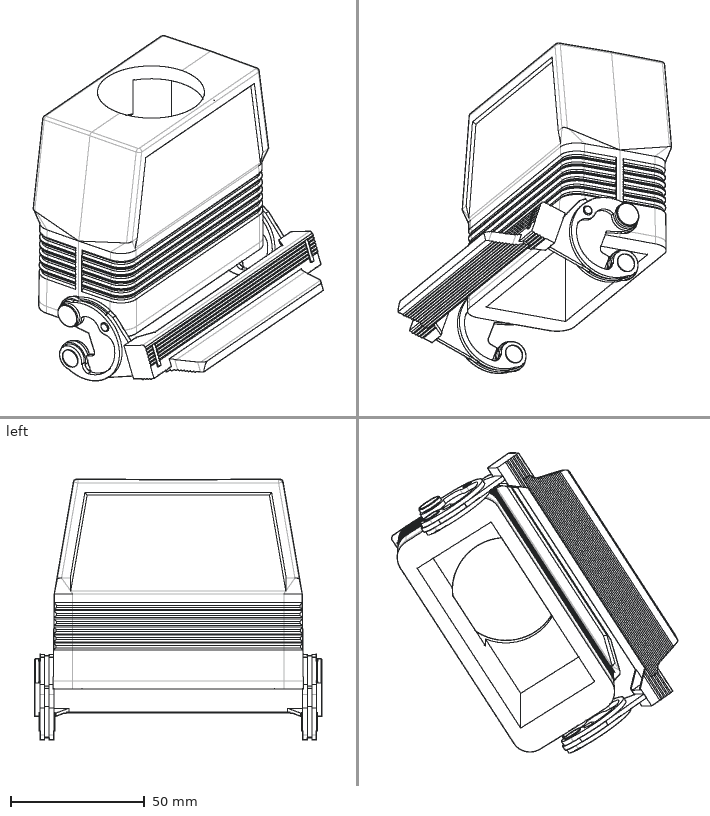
import cadquery as cq
import math

SKIRT_HALF_X = 21.7
SKIRT_HALF_Y = 46.8
SKIRT_END_PEAK = 0.15
SKIRT_CORNER_R = 7.2
RIM_HEIGHT = 3.0
SKIRT_TOP = 35.6
SKIRT_DRAFT = 0.4

GROOVE_COUNT = 6
GROOVE_PITCH = 3.02
GROOVE_BOTTOM = 14.6
GROOVE_DEPTH = 0.9
GROOVE_LOWER_FLANK = 0.8
GROOVE_ROOT = 0.8
GROOVE_UPPER_FLANK = 1.0
STRIP_WIDTH = 2.85

SHOULDER_TOP = 41.5
HOOD_TOP = 78.47
UPPER_HALF_X = 22.6
UPPER_END_SLOPE = 0.1715
END_PEAK = 0.25
ROOF_PEAK = 0.2
UPPER_FILLET = 1.5
ROOF_FILLET = 1.2

PANEL_DEPTH = 1.05
PANEL_TOP = 73.5
PANEL_BEVEL = 1.0
PANEL_MARGIN_Y = 5.0

ENTRY_DIAMETER = 40.0
ENTRY_DEPTH = 20.0
CAVITY_HALF_X = 16.4
CAVITY_HALF_Y = 36.0
ROOF_THICKNESS = 5.6

PIVOT = (0.0, 6.8)
ROLLER = (0.0, -12.2)
HOOK_CENTRE = (6.5, -3.0)
HOOK_R = 16.0
WEB_INSET = 0.7
CHEEK_END_R = 5.1
WEB_END_R = 5.7
ARM_INNER_Y = 46.55
CHEEK_THICKNESS = 1.7
WEB_THICKNESS = 1.75
ARM_OUTER_Y = ARM_INNER_Y + 2 * CHEEK_THICKNESS + WEB_THICKNESS

CHEEK_INNER_START = (4.6, 6.3)
CHEEK_ARCH = ((8.4, 8.1), (12.7, 5.4))
CHEEK_RIVET_ARC = ((13.6, 4.0), (15.5, 3.1))
CHEEK_SHOULDER_ARC = ((18.8, 1.7), (20.3, -2.0))
CHEEK_LIP_ARC = ((16.4, -12.6), (8.0, -16.2))
MOUTH_ROOF = ((-2.5, 2.0), (2.2, 0.7), (7.1, 0.1))
MOUTH_BACK = (9.6, -6.7)
MOUTH_CORNER_ARC = ((9.6, -8.2), (8.4, -9.2))
HOOK_NOSE = ((6.0, -10.1), (8.1, -15.8))
LEVER_TOP_EDGE = ((15.8, 11.7), (18.3, 10.4), (25.4, 2.0))
LEVER_BOTTOM_EDGE = (13.5, -17.0)
LEVER_OVERLAP = 0.3
ROLLER_GAP_ARC = ((6.2, -15.2), (5.4, -13.0))
BEHIND_PIVOT = (0.0, 10.0)
BEHIND_ROLLER = (0.0, -16.0)
FAR_LEFT = -14.0

PIVOT_HEAD_R = 4.6
PIVOT_NECK_R = 3.6
PIVOT_NECK_LENGTH = 0.4
PIVOT_HEAD_Y = 53.7
PIVOT_HEAD_CHAMFER = 0.3
PIVOT_ROOT_Y = 42.0
ROLLER_PIN_R = 3.5
ROLLER_PIN_PROUD = 0.4
RIVET = (15.8, 6.3)
RIVET_R = 1.8
RIVET_PROUD = 0.4
RIVET_CHAMFER = 0.35

HANDLE_TILT = 19.0
HANDLE_ORIGIN = (26.0, 2.6)
HANDLE_WIDTH = 9.95
HANDLE_HEIGHT = 13.6
HANDLE_HALF_Y = 53.7
HANDLE_RELIEF = 5.6
RELIEF_HALF_Y_DEEP = 40.9
RELIEF_HALF_Y_OPEN = 45.8
RELIEF_SKIN = 1.3
HANDLE_EDGE_FILLET = 0.8
TONGUE_PROUD = 0.45
TONGUE_TOP = 1.5
TONGUE_BOTTOM = 10.5

TOOTH_PITCH = 1.3
TOOTH_HEIGHT = 0.4
SIDE_TEETH = 6
SIDE_TEETH_START = 0.9
UNDER_TEETH = 4
UNDER_TEETH_START = 3.8
TAB_TEETH = 11
TAB_TEETH_END_X = 49.2

TAB_START_X = 36.0
TAB_END_X = 51.77
TAB_TOP_Z = (-3.9, -3.6)
TAB_DIP = (41.2, -4.15)
TAB_CREST = (50.4, -3.45)
TAB_BOTTOM_Z = (-8.6, -7.3)
TAB_FLARE_HALF_Y = 44.5
TAB_FLARE_X = 38.2
TAB_FLARE_MID = (39.3, 42.6)
TAB_ROOT_X = 41.2
TAB_ROOT_HALF_Y = 41.5
TAB_END_HALF_Y = 39.0
TAB_CORNER_R = 1.5


def rounded_section(z, half_x, half_y, radius):
    """Rounded rectangle whose short sides rise slightly to a peak at x = 0."""
    side_y = half_y - SKIRT_END_PEAK
    corners = [
        (half_x, -side_y), (half_x, side_y), (0, half_y),
        (-half_x, side_y), (-half_x, -side_y), (0, -half_y), (half_x, -side_y),
    ]
    sketch = cq.Sketch().polygon(corners).vertices(">X or <X").fillet(radius)
    return sketch.moved(cq.Location(cq.Vector(0, 0, z)))


def loft_sections(lower, upper):
    """Ruled solid between two sections given as (z, half_x, half_y, radius)."""
    sketches = [rounded_section(*lower), rounded_section(*upper)]
    return cq.Workplane("XY").placeSketch(*sketches).loft(ruled=True)


def skirt_section(z, inset=0.0):
    draft = SKIRT_DRAFT * max(z - RIM_HEIGHT, 0) / (SKIRT_TOP - RIM_HEIGHT)
    inset = inset + draft
    return (z, SKIRT_HALF_X - inset, SKIRT_HALF_Y - inset, SKIRT_CORNER_R - inset)


def skirt_slice(lower, upper):
    """Tapered slice of the skirt between two (z, inset) levels."""
    bottom = skirt_section(*lower)
    top = skirt_section(*upper)
    height = top[0] - bottom[0]
    taper = math.degrees(math.atan2(bottom[1] - top[1], height))
    return cq.Workplane("XY").placeSketch(rounded_section(*bottom)).extrude(height, taper=taper)


def extrude_along_y(outline, y_from, y_to):
    """Extrude an XZ outline between two Y positions."""
    return outline.extrude(-(y_to - y_from)).translate((0, y_from, 0))


def both_ends(solid):
    return solid.union(solid.mirror("XZ"))


def disc(centre, radius, y_from, y_to):
    return extrude_along_y(cq.Workplane("XZ").center(*centre).circle(radius), y_from, y_to)


def groove_cutter(z):
    """Groove running round the skirt, interrupted by the plain strip on both ends."""
    profile = [
        (z, 0.0),
        (z + GROOVE_LOWER_FLANK, GROOVE_DEPTH),
        (z + GROOVE_LOWER_FLANK + GROOVE_ROOT, GROOVE_DEPTH),
        (z + GROOVE_LOWER_FLANK + GROOVE_ROOT + GROOVE_UPPER_FLANK, 0.0),
    ]
    height = profile[-1][0] - z
    cutter = cq.Workplane("XY").workplane(offset=z).rect(3 * SKIRT_HALF_X, 3 * SKIRT_HALF_Y).extrude(height)
    for lower, upper in zip(profile, profile[1:]):
        core = skirt_slice(lower, upper)
        cutter = cutter.cut(core, clean=False)
    strip = cq.Workplane("XY").box(STRIP_WIDTH, 4 * SKIRT_HALF_Y, 4 * HOOD_TOP)
    return cutter.cut(strip, clean=False)


def make_skirt():
    rim = skirt_slice((0, 0), (RIM_HEIGHT, 0))
    wall = skirt_slice((RIM_HEIGHT, 0), (SKIRT_TOP, 0))
    skirt = rim.union(wall, clean=False)
    for i in range(GROOVE_COUNT):
        skirt = skirt.cut(groove_cutter(GROOVE_BOTTOM + i * GROOVE_PITCH), clean=False)
    return skirt


def upper_end_y(z):
    """Half length of the upper body in its middle plane."""
    return skirt_section(SKIRT_TOP)[2] - UPPER_END_SLOPE * (z - SKIRT_TOP)


def make_upper_body():
    def outline(plane, z):
        peak = upper_end_y(z)
        side = peak - END_PEAK
        return plane.polyline([
            (UPPER_HALF_X, -side), (UPPER_HALF_X, side), (0, peak),
            (-UPPER_HALF_X, side), (-UPPER_HALF_X, -side), (0, -peak),
        ]).close()

    base = outline(cq.Workplane("XY").workplane(offset=SKIRT_TOP), SKIRT_TOP)
    body = outline(base.workplane(offset=HOOD_TOP - SKIRT_TOP), HOOD_TOP).loft(ruled=True)
    reach = 2 * SKIRT_HALF_Y
    roof_edge = HOOD_TOP - ROOF_PEAK
    above_roof = cq.Workplane("XZ").polyline([
        (-UPPER_HALF_X, roof_edge), (0, HOOD_TOP), (UPPER_HALF_X, roof_edge),
        (UPPER_HALF_X, 2 * HOOD_TOP), (-UPPER_HALF_X, 2 * HOOD_TOP),
    ]).close()
    body = body.cut(extrude_along_y(above_roof, -reach, reach))
    body = body.edges("(>X or <X) and (not #Z) and (not |Y)").fillet(UPPER_FILLET)
    body = body.faces(">Z").edges("not (|Y and (not (>X or <X)))").fillet(ROOF_FILLET)

    front = cq.Workplane("XZ").polyline([
        (0, SKIRT_TOP), (UPPER_HALF_X, SHOULDER_TOP), (UPPER_HALF_X, HOOD_TOP),
        (-UPPER_HALF_X, HOOD_TOP), (-UPPER_HALF_X, SHOULDER_TOP),
    ]).close()
    body = body.intersect(extrude_along_y(front, -reach, reach))

    shoulder = loft_sections(
        skirt_section(SKIRT_TOP),
        (SHOULDER_TOP, UPPER_HALF_X, upper_end_y(SHOULDER_TOP) - END_PEAK + SKIRT_END_PEAK,
         UPPER_FILLET),
    )
    return body.union(shoulder, clean=False)


def panel_cutter():
    """Shallow tapered recess on the -X side."""
    def outline(plane, grow):
        top = PANEL_TOP + grow
        top_y = upper_end_y(top) - PANEL_MARGIN_Y + grow
        bottom_y = upper_end_y(SKIRT_TOP) - PANEL_MARGIN_Y + grow
        return plane.polyline([
            (top_y, top), (-top_y, top), (-bottom_y, SKIRT_TOP), (bottom_y, SKIRT_TOP),
        ]).close()

    floor = outline(cq.Workplane("YZ").workplane(offset=-UPPER_HALF_X + PANEL_DEPTH), -PANEL_BEVEL)
    return outline(floor.workplane(offset=-PANEL_DEPTH), 0).loft(ruled=True)


def cut_openings(hood):
    cavity_top = HOOD_TOP - ROOF_THICKNESS
    cavity = cq.Workplane("XY").rect(2 * CAVITY_HALF_X, 2 * CAVITY_HALF_Y).extrude(cavity_top)
    entry = (
        cq.Workplane("XY").workplane(offset=HOOD_TOP)
        .circle(ENTRY_DIAMETER / 2).extrude(-ENTRY_DEPTH)
    )
    return hood.cut(cavity, clean=False).cut(entry, clean=False)


def make_hood():
    hood = make_skirt().union(make_upper_body(), clean=False)
    panel = panel_cutter()
    hood = hood.cut(panel, clean=False).cut(panel.mirror("YZ"), clean=False)
    return cut_openings(hood)


def handle_point(u, v):
    """XZ position of a point u across and v up the tilted bar."""
    tilt = math.radians(HANDLE_TILT)
    x = HANDLE_ORIGIN[0] + u * math.cos(tilt) - v * math.sin(tilt)
    z = HANDLE_ORIGIN[1] + u * math.sin(tilt) + v * math.cos(tilt)
    return (x, z)


def make_cheek(y_from, y_to):
    """C-shaped plate running from the pivot round to the roller."""
    inside = (
        cq.Workplane("XZ").moveTo(FAR_LEFT, BEHIND_PIVOT[1]).lineTo(*BEHIND_PIVOT)
        .lineTo(*CHEEK_INNER_START)
        .threePointArc(*CHEEK_ARCH)
        .threePointArc(*CHEEK_RIVET_ARC)
        .threePointArc(*CHEEK_SHOULDER_ARC)
        .threePointArc(*CHEEK_LIP_ARC)
        .threePointArc(*ROLLER_GAP_ARC)
        .lineTo(*BEHIND_ROLLER).lineTo(FAR_LEFT, BEHIND_ROLLER[1]).close()
    )
    cheek = disc(HOOK_CENTRE, HOOK_R, y_from, y_to).cut(extrude_along_y(inside, y_from, y_to))
    for centre in (PIVOT, ROLLER):
        cheek = cheek.union(disc(centre, CHEEK_END_R, y_from, y_to))
    return cheek


def make_web(y_from, y_to):
    """Middle plate with the hook mouth, reaching into the handle bar."""
    tongue_end = HANDLE_WIDTH + TONGUE_PROUD
    lever = cq.Workplane("XZ").polyline([
        HOOK_CENTRE, *LEVER_TOP_EDGE, handle_point(0, -TONGUE_TOP),
        handle_point(tongue_end, -TONGUE_TOP), handle_point(tongue_end, -TONGUE_BOTTOM),
        handle_point(LEVER_OVERLAP, -TONGUE_BOTTOM), handle_point(0, -HANDLE_HEIGHT - LEVER_OVERLAP),
        LEVER_BOTTOM_EDGE,
    ]).close()
    mouth = (
        cq.Workplane("XZ")
        .polyline([(FAR_LEFT, BEHIND_PIVOT[1]), BEHIND_PIVOT, *MOUTH_ROOF, MOUTH_BACK])
        .threePointArc(*MOUTH_CORNER_ARC)
        .lineTo(*HOOK_NOSE[0]).lineTo(*HOOK_NOSE[1])
        .threePointArc(*ROLLER_GAP_ARC)
        .lineTo(*BEHIND_ROLLER).lineTo(FAR_LEFT, BEHIND_ROLLER[1]).close()
    )
    web = disc(HOOK_CENTRE, HOOK_R - WEB_INSET, y_from, y_to)
    web = web.union(extrude_along_y(lever, y_from, y_to))
    web = web.cut(extrude_along_y(mouth, y_from, y_to))
    for centre in (PIVOT, ROLLER):
        web = web.union(disc(centre, WEB_END_R, y_from, y_to))
    return web


def make_arm():
    """Complete arm with its pins at the +Y end."""
    web_inner = ARM_INNER_Y + CHEEK_THICKNESS
    web_outer = web_inner + WEB_THICKNESS
    arm = make_cheek(ARM_INNER_Y, web_inner)
    arm = arm.union(make_web(web_inner, web_outer))
    arm = arm.union(make_cheek(web_outer, ARM_OUTER_Y))

    head_y = ARM_OUTER_Y + PIVOT_NECK_LENGTH
    head = disc(PIVOT, PIVOT_HEAD_R, head_y, PIVOT_HEAD_Y).faces(">Y").edges().chamfer(PIVOT_HEAD_CHAMFER)
    arm = arm.union(disc(PIVOT, PIVOT_NECK_R, PIVOT_ROOT_Y, head_y)).union(head)
    arm = arm.union(disc(
        ROLLER, ROLLER_PIN_R, ARM_INNER_Y - ROLLER_PIN_PROUD, ARM_OUTER_Y + ROLLER_PIN_PROUD
    ))
    rivet = disc(RIVET, RIVET_R, ARM_INNER_Y, ARM_OUTER_Y + RIVET_PROUD)
    return arm.union(rivet.faces(">Y").edges().chamfer(RIVET_CHAMFER))


def tooth_row(start, end, count):
    """Row of triangular teeth on the line start-end (x, z), pointing to its left side."""
    step = ((end[0] - start[0]) / count, (end[1] - start[1]) / count)
    length = math.hypot(*step)
    rise = (-step[1] / length * TOOTH_HEIGHT, step[0] / length * TOOTH_HEIGHT)
    points = [start]
    for i in range(count):
        middle = (start[0] + (i + 0.5) * step[0], start[1] + (i + 0.5) * step[1])
        points.append((middle[0] + rise[0], middle[1] + rise[1]))
        points.append((start[0] + (i + 1) * step[0], start[1] + (i + 1) * step[1]))
    points.append((end[0] - rise[0], end[1] - rise[1]))
    points.append((start[0] - rise[0], start[1] - rise[1]))
    row = cq.Workplane("XZ").polyline(points).close()
    return extrude_along_y(row, -HANDLE_HALF_Y, HANDLE_HALF_Y)


def make_bar():
    bar = cq.Workplane("XY").box(
        HANDLE_WIDTH, 2 * HANDLE_HALF_Y, HANDLE_HEIGHT, centered=(False, True, False)
    ).translate((0, 0, -HANDLE_HEIGHT))
    bar = bar.edges(">X and >Z").fillet(HANDLE_EDGE_FILLET)

    side_end = SIDE_TEETH_START + SIDE_TEETH * TOOTH_PITCH
    side_row = tooth_row((HANDLE_WIDTH, -SIDE_TEETH_START), (HANDLE_WIDTH, -side_end), SIDE_TEETH)
    under_end = UNDER_TEETH_START + UNDER_TEETH * TOOTH_PITCH
    under_row = tooth_row((under_end, -HANDLE_HEIGHT), (UNDER_TEETH_START, -HANDLE_HEIGHT), UNDER_TEETH)
    bar = bar.union(side_row).union(under_row)

    relief = cq.Workplane("XY").polyline([
        (0, -RELIEF_HALF_Y_OPEN), (HANDLE_RELIEF, -RELIEF_HALF_Y_DEEP),
        (HANDLE_RELIEF, RELIEF_HALF_Y_DEEP), (0, RELIEF_HALF_Y_OPEN),
    ]).close().extrude(-HANDLE_HEIGHT - TOOTH_HEIGHT)
    channel = cq.Workplane("XY").box(
        HANDLE_RELIEF, 2 * ARM_INNER_Y, HANDLE_HEIGHT - 2 * RELIEF_SKIN, centered=(False, True, True)
    ).translate((0, 0, -HANDLE_HEIGHT / 2))
    bar = bar.cut(relief).cut(channel).rotate((0, 0, 0), (0, 1, 0), -HANDLE_TILT)
    return bar.translate((HANDLE_ORIGIN[0], 0, HANDLE_ORIGIN[1]))


def make_tab():
    """Finger tab along the +X side of the bar, flared where it leaves the bar."""
    def under_z(x):
        share = (x - TAB_START_X) / (TAB_END_X - TAB_START_X)
        return TAB_BOTTOM_Z[0] + share * (TAB_BOTTOM_Z[1] - TAB_BOTTOM_Z[0])

    under_start = (TAB_START_X, TAB_BOTTOM_Z[0])
    under_end = (TAB_END_X, TAB_BOTTOM_Z[1])
    profile = cq.Workplane("XZ").polyline([
        (TAB_START_X, TAB_TOP_Z[0]), TAB_DIP, TAB_CREST, (TAB_END_X, TAB_TOP_Z[1]), under_end, under_start,
    ]).close()
    slab = extrude_along_y(profile, -HANDLE_HALF_Y, HANDLE_HALF_Y)
    slab = slab.union(tooth_row((TAB_TEETH_END_X, under_z(TAB_TEETH_END_X)), under_start, TAB_TEETH))

    def along(x):
        return (x - TAB_ROOT_X) * math.cos(math.radians(HANDLE_TILT))

    tip = along(TAB_END_X)
    start = along(TAB_START_X) - HANDLE_WIDTH
    half = (
        cq.Workplane("XY").workplane(offset=-HANDLE_HEIGHT).moveTo(start, 0)
        .lineTo(start, TAB_FLARE_HALF_Y).lineTo(along(TAB_FLARE_X), TAB_FLARE_HALF_Y)
        .threePointArc((along(TAB_FLARE_MID[0]), TAB_FLARE_MID[1]), (0, TAB_ROOT_HALF_Y))
        .lineTo(tip - TAB_CORNER_R, TAB_END_HALF_Y)
        .tangentArcPoint((tip + TAB_CORNER_R / 2, TAB_END_HALF_Y - 2 * TAB_CORNER_R), relative=False)
        .lineTo(tip + TAB_CORNER_R / 2, 0).close().extrude(2 * HANDLE_HEIGHT)
    )
    middle_z = sum(TAB_TOP_Z + TAB_BOTTOM_Z) / 4
    plan = both_ends(half).rotate((0, 0, 0), (0, 1, 0), -HANDLE_TILT)
    return slab.intersect(plan.translate((TAB_ROOT_X, 0, middle_z)))


def make_lever():
    return both_ends(make_arm()).union(make_bar()).union(make_tab())


result = make_hood().union(make_lever(), clean=False)